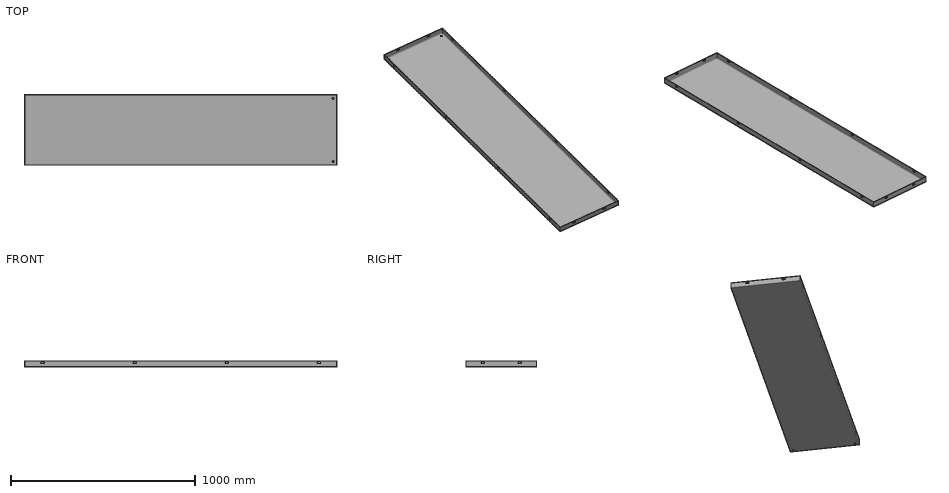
import cadquery as cq

length = 1697.0
width = 384.0
height = 32.0
sheet = 1.0
bend_radius = 2.0

slot_length = 17.0
slot_height = 7.0
slot_drop = 10.0
slot_z = height - slot_drop
side_slot_pitch = 500.0
side_slot_count = 4
end_slot_pitch = 200.0
end_slot_count = 2

floor_hole_diameter = 8.0
floor_hole_end_inset = 20.0
floor_hole_spacing = 343.0


def make_tray():
    """Fold-like shell, open at the top, with rounded bottom edges."""
    block = cq.Workplane("XY").box(length, width, height, centered=(True, True, False))
    return block.faces("<Z").edges().fillet(bend_radius).faces(">Z").shell(-sheet)


def wall_slots(plane, count, pitch, depth):
    """Row of slots that passes through both walls facing the given plane."""
    return (
        cq.Workplane(plane, origin=(0, 0, slot_z))
        .rarray(pitch, 17, count, 1)
        .slot2D(slot_length, slot_height)
        .extrude(depth, both=True)
    )


def floor_holes():
    """Pair of round cutters through the floor."""
    return (
        cq.Workplane("XY")
        .center(length / 2 - floor_hole_end_inset, 0)
        .rarray(17, floor_hole_spacing, 1, 2)
        .circle(floor_hole_diameter / 2)
        .extrude(height)
    )


result = (
    make_tray()
    .cut(wall_slots("XZ", side_slot_count, side_slot_pitch, width))
    .cut(wall_slots("YZ", end_slot_count, end_slot_pitch, length))
    .cut(floor_holes())
)